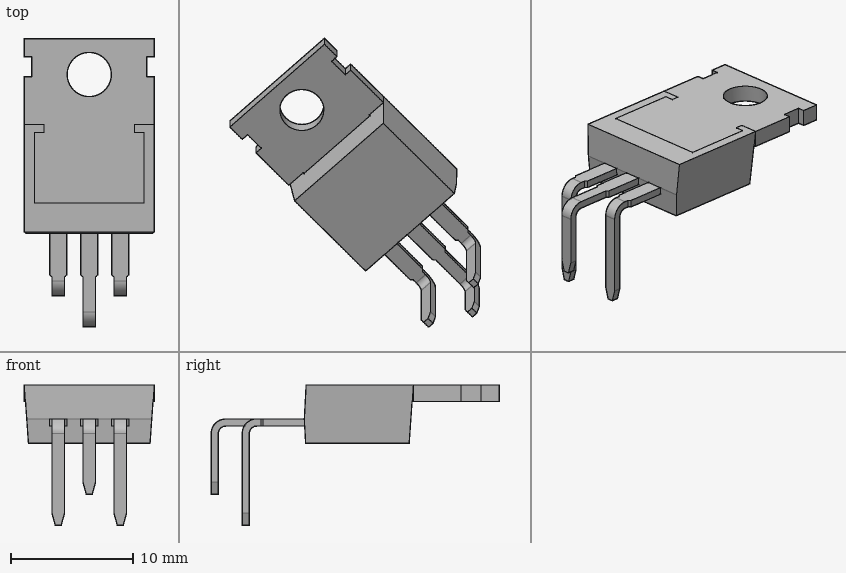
import cadquery as cq
import math


tab_width = 10.65
tab_thickness = 1.37
tab_end_y = 2.95
hole_diameter = 3.6
notch_depth = 0.6
notch_length = 1.63
notch_top_y = tab_end_y - 1.5
neck_width = 7.44
neck_length = 0.64
pad_width = 8.94
pad_end_y = tab_end_y - 13.48

body_height = 4.78
body_back_y = tab_end_y - 7.05
body_front_y = tab_end_y - 15.99
parting_z = -2.78
side_draft = math.tan(math.radians(4))
front_draft = math.tan(math.radians(3))

lead_pitch = 2.54
lead_thickness = 0.6
lead_wide_width = 1.4
lead_narrow_width = 1.05
lead_tip_width = 0.5
lead_tip_length = 1.0
lead_embedded_length = 1.4
shoulder_y = tab_end_y - 19.36
shoulder_chamfer = (lead_wide_width - lead_narrow_width) / 2
bend_outer_radius = 1.2
bend_inner_radius = bend_outer_radius - lead_thickness
outer_lead_front_y = tab_end_y - 21.08
outer_lead_tip_z = -11.5
middle_lead_front_y = outer_lead_front_y - lead_pitch
middle_lead_tip_z = outer_lead_tip_z + lead_pitch


def block(x_size, y_start, y_end, z_top, z_size):
    """Box centred on X, spanning two Y values and hanging down from z_top."""
    return (
        cq.Workplane("XY", origin=(0, (y_start + y_end) / 2, z_top - z_size))
        .box(x_size, abs(y_end - y_start), z_size, centered=(True, True, False))
    )


def make_tab():
    """Metal plate: exposed end with hole and notches, then a neck and a pad set into the body."""
    neck_end_y = body_back_y - neck_length
    tab = block(tab_width, tab_end_y, body_back_y, 0, tab_thickness)
    tab = tab.union(block(neck_width, body_back_y, neck_end_y, 0, tab_thickness))
    tab = tab.union(block(pad_width, neck_end_y, pad_end_y, 0, tab_thickness))

    hole = cq.Workplane("XY").circle(hole_diameter / 2).extrude(-tab_thickness)
    tab = tab.cut(hole)

    notch = block(2 * notch_depth, notch_top_y, notch_top_y - notch_length, 0, tab_thickness)
    for side in (-1, 1):
        tab = tab.cut(notch.translate((side * tab_width / 2, 0, 0)))
    return tab


def make_lead(x, front_y, tip_z):
    """Flat lead running out of the body, bent down at front_y, with a tapered tip at tip_z."""
    inner_end_y = body_front_y + lead_embedded_length
    back_y = front_y + lead_thickness
    lead_bottom_z = parting_z - lead_thickness
    bend_y = front_y + bend_outer_radius
    bend_z = parting_z - bend_outer_radius
    diagonal = math.sqrt(0.5)

    strip = (
        cq.Workplane("YZ", origin=(-lead_wide_width / 2, 0, 0))
        .moveTo(inner_end_y, parting_z)
        .lineTo(bend_y, parting_z)
        .threePointArc(
            (bend_y - bend_outer_radius * diagonal, bend_z + bend_outer_radius * diagonal),
            (front_y, bend_z),
        )
        .lineTo(front_y, tip_z)
        .lineTo(back_y, tip_z)
        .lineTo(back_y, bend_z)
        .threePointArc(
            (bend_y - bend_inner_radius * diagonal, bend_z + bend_inner_radius * diagonal),
            (bend_y, lead_bottom_z),
        )
        .lineTo(inner_end_y, lead_bottom_z)
        .close()
        .extrude(lead_wide_width)
    )

    wide = lead_wide_width / 2
    narrow = lead_narrow_width / 2
    plan = (
        cq.Workplane("XY", origin=(0, 0, tip_z))
        .polyline([
            (-wide, inner_end_y),
            (-wide, shoulder_y),
            (-narrow, shoulder_y - shoulder_chamfer),
            (-narrow, front_y),
            (narrow, front_y),
            (narrow, shoulder_y - shoulder_chamfer),
            (wide, shoulder_y),
            (wide, inner_end_y),
        ])
        .close()
        .extrude(parting_z - tip_z)
    )

    tip = lead_tip_width / 2
    taper_z = tip_z + lead_tip_length
    elevation = (
        cq.Workplane("XZ", origin=(0, inner_end_y, 0))
        .polyline([
            (-wide, parting_z),
            (-wide, taper_z),
            (-narrow, taper_z),
            (-tip, tip_z),
            (tip, tip_z),
            (narrow, taper_z),
            (wide, taper_z),
            (wide, parting_z),
        ])
        .close()
        .extrude(inner_end_y - front_y)
    )
    return strip.intersect(plan).intersect(elevation).translate((x, 0, 0))


def make_body(inserts):
    """Drafted moulding with matching recesses for the tab and the leads."""
    top_front_y = body_front_y - parting_z * front_draft
    bottom_front_y = body_front_y + (body_height + parting_z) * front_draft
    draft_inset = body_height * side_draft

    side_profile = (
        cq.Workplane("YZ", origin=(-tab_width / 2, 0, 0))
        .polyline([
            (body_back_y, 0),
            (top_front_y, 0),
            (body_front_y, parting_z),
            (bottom_front_y, -body_height),
            (body_back_y - draft_inset, -body_height),
        ])
        .close()
        .extrude(tab_width)
    )

    top_half_width = tab_width / 2
    bottom_half_width = top_half_width - draft_inset
    front_profile = (
        cq.Workplane("XZ", origin=(0, body_back_y, 0))
        .polyline([
            (-top_half_width, 0),
            (top_half_width, 0),
            (bottom_half_width, -body_height),
            (-bottom_half_width, -body_height),
        ])
        .close()
        .extrude(body_back_y - body_front_y)
    )

    body = side_profile.intersect(front_profile)
    for insert in inserts:
        body = body.cut(insert)
    return body


tab = make_tab()
outer_leads = [make_lead(side * lead_pitch, outer_lead_front_y, outer_lead_tip_z) for side in (-1, 1)]
middle_lead = make_lead(0, middle_lead_front_y, middle_lead_tip_z)
leads = [*outer_leads, middle_lead]
body = make_body([tab, *leads])

result = cq.Compound.makeCompound([
    tab.solids().val(),
    body.solids().val(),
    *[lead.solids().val() for lead in leads],
])